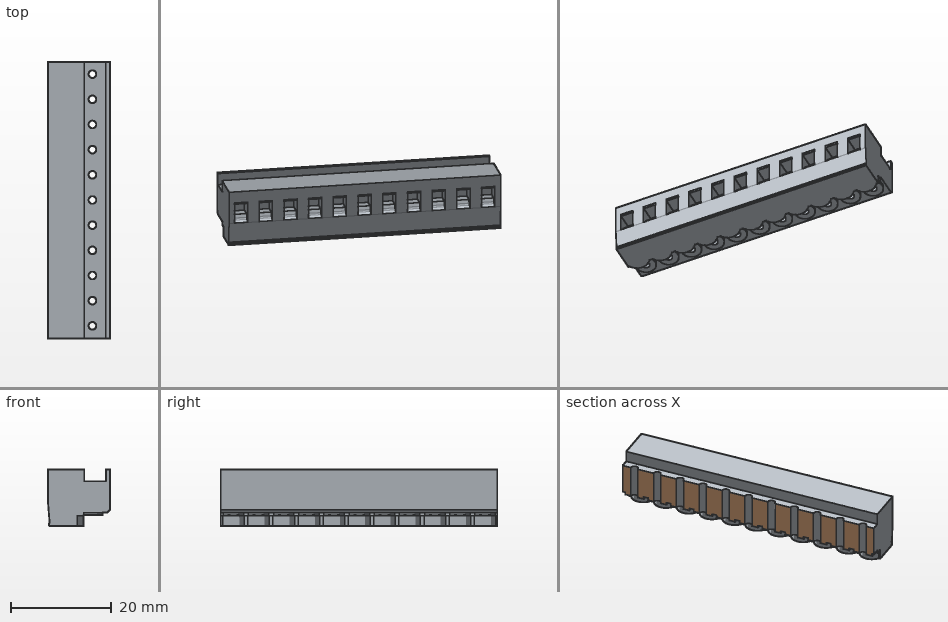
import cadquery as cq

POLES = 11
LENGTH = 55
WIDTH = 12.4
HEIGHT = 11.3
PITCH = LENGTH / POLES
POLE_OFFSET = 0.05

CHANNEL_START = 7.25
RAIL_THICKNESS = 0.8
CHANNEL_DEPTH = 2.3
CHANNEL_FLOOR = HEIGHT - CHANNEL_DEPTH

UNDERSIDE_Z = 2.7
UNDERSIDE_CHAMFER = 0.55
STEP_X = 7.1
STEP_Z = 2.05
PLUG_FACE_X = 5.9

LEAN_TOP_Z = 4.75
LEAN_INSET = 0.35
BEAD_TOP_Z = 0.65
BEAD_CREST_HIGH_Z = 0.5
BEAD_CREST_LOW_Z = 0.2
BEAD_INSET = 0.2

SCREW_X = 8.85
SCREW_HOLE_DIAMETER = 1.5
COLLAR_RADIUS = 2.05
COLLAR_DROP = 0.5

LOBE_RADIUS = PITCH / 2

POCKET_WIDTH = 2.65
POCKET_DEPTH = 3.3
POCKET_TOP_Z = CHANNEL_FLOOR
LEAD_IN_DEPTH = 0.15
LEAD_IN_HEIGHT = 0.35
RAMP_END = (0.7, 5.15)
RAMP_CURVE_MIDDLE = (0.9, 5.3)
SILL_FOOT = (1.0, 5.5)
SILL_EDGE = (1.15, 6.15)

pole_positions = [POLE_OFFSET + (pole - (POLES - 1) / 2) * PITCH for pole in range(POLES)]


def extrude_along_y(profile, length, centre_y=0):
    """Solid of an XZ profile, centred on centre_y."""
    return profile.extrude(length / 2, both=True).translate((0, centre_y, 0))


def housing():
    profile = (
        cq.Workplane("XZ")
        .moveTo(0, HEIGHT)
        .lineTo(CHANNEL_START, HEIGHT)
        .lineTo(CHANNEL_START, CHANNEL_FLOOR)
        .lineTo(WIDTH - RAIL_THICKNESS, CHANNEL_FLOOR)
        .lineTo(WIDTH - RAIL_THICKNESS, HEIGHT)
        .lineTo(WIDTH, HEIGHT)
        .lineTo(WIDTH, UNDERSIDE_Z + UNDERSIDE_CHAMFER)
        .lineTo(WIDTH - UNDERSIDE_CHAMFER, UNDERSIDE_Z)
        .lineTo(STEP_X, UNDERSIDE_Z)
        .lineTo(STEP_X, STEP_Z)
        .lineTo(PLUG_FACE_X, STEP_Z)
        .lineTo(PLUG_FACE_X, 0)
        .lineTo(LEAN_INSET, 0)
        .lineTo(BEAD_INSET, BEAD_CREST_LOW_Z)
        .lineTo(BEAD_INSET, BEAD_CREST_HIGH_Z)
        .lineTo(LEAN_INSET, BEAD_TOP_Z)
        .lineTo(0, LEAN_TOP_Z)
        .close()
    )
    return extrude_along_y(profile, LENGTH)


def lobe(centre_y):
    """Upright half-round rib whose crest lines up with the step above it."""
    return (
        cq.Workplane("XY")
        .center(STEP_X - LOBE_RADIUS, centre_y)
        .circle(LOBE_RADIUS)
        .extrude(STEP_Z)
        .intersect(
            cq.Workplane("XY")
            .box(LOBE_RADIUS, PITCH, STEP_Z, centered=(False, True, False))
            .translate((PLUG_FACE_X, centre_y, 0))
        )
    )


def collar(centre_y):
    return (
        cq.Workplane("XY", origin=(SCREW_X, centre_y, UNDERSIDE_Z - COLLAR_DROP))
        .circle(COLLAR_RADIUS)
        .extrude(COLLAR_DROP)
    )


def screw_hole(centre_y):
    return (
        cq.Workplane("XY", origin=(SCREW_X, centre_y, 0))
        .circle(SCREW_HOLE_DIAMETER / 2)
        .extrude(HEIGHT)
    )


def wire_pocket(centre_y):
    """Wire entry with a ramp curving up to a raised sill and a sloped lead-in above."""
    profile = (
        cq.Workplane("XZ")
        .moveTo(0, LEAN_TOP_Z)
        .lineTo(*RAMP_END)
        .threePointArc(RAMP_CURVE_MIDDLE, SILL_FOOT)
        .lineTo(*SILL_EDGE)
        .lineTo(POCKET_DEPTH, SILL_EDGE[1])
        .lineTo(POCKET_DEPTH, POCKET_TOP_Z - LEAD_IN_HEIGHT)
        .lineTo(LEAD_IN_DEPTH, POCKET_TOP_Z - LEAD_IN_HEIGHT)
        .lineTo(0, POCKET_TOP_Z)
        .close()
    )
    return extrude_along_y(profile, POCKET_WIDTH, centre_y)


result = housing()
for y in pole_positions:
    result = result.union(lobe(y)).union(collar(y))
for y in pole_positions:
    result = result.cut(screw_hole(y)).cut(wire_pocket(y))